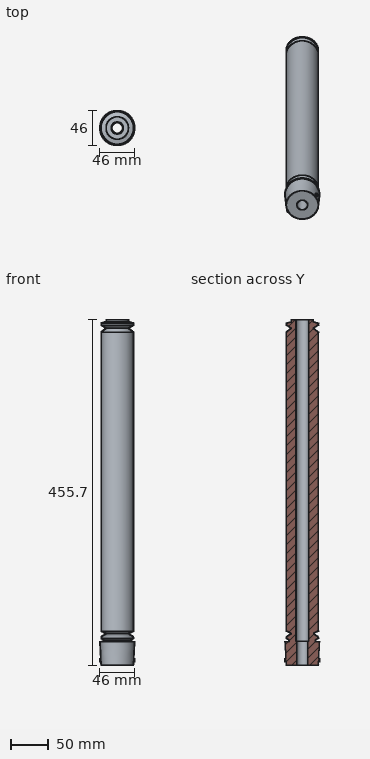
import cadquery as cq

total_height = 455.7
collar_height = 32.0
tube_diameter = 43.0
tube_bottom = 45.0
tube_top = 439.5
bore_diameter = 16.0
bore_step_diameter = 14.0
bore_step_height = collar_height

groove_diameter = 29.5
top_groove_height = 444.5
top_flange_bottom = 448.5
top_flange_top = 451.0
top_lip_bottom = 453.0

bottom_groove_height = 42.0
nose_start_diameter = 40.0
nose_start_height = 38.7
nose_middle_diameter = 42.0
nose_middle_height = 38.0
bottom_flange_bottom = 35.5
neck_diameter = 35.0
neck_top = 33.3

collar_top_diameter = 46.0
collar_bottom_diameter = 43.0
foot_diameter = 42.0
collar_edge_height = 31.0
foot_chamfer_height = 1.5

cross_pin_diameter = 4.0
cross_pin_height = 7.0


def revolved_body():
    """Revolve the stepped outer outline about the Z axis."""
    tube_radius = tube_diameter / 2
    groove_radius = groove_diameter / 2
    neck_radius = neck_diameter / 2
    collar_radius = collar_top_diameter / 2
    foot_and_neck = [
        (0, 0),
        (foot_diameter / 2, 0),
        (collar_bottom_diameter / 2, foot_chamfer_height),
        (collar_radius, collar_edge_height),
        (neck_radius, collar_height),
        (neck_radius, neck_top),
        (tube_radius, bottom_flange_bottom),
    ]
    nose_middle = (nose_middle_diameter / 2, nose_middle_height)
    nose_start = (nose_start_diameter / 2, nose_start_height)
    grooves_and_tube = [
        (groove_radius, bottom_groove_height),
        (tube_radius, tube_bottom),
        (tube_radius, tube_top),
        (groove_radius, top_groove_height),
        (tube_radius, top_flange_bottom),
        (tube_radius, top_flange_top),
        (groove_radius, top_lip_bottom),
        (groove_radius, total_height),
        (0, total_height),
    ]
    outline = (
        cq.Workplane("XZ")
        .polyline(foot_and_neck)
        .threePointArc(nose_middle, nose_start)
        .polyline(grooves_and_tube, includeCurrent=True)
        .close()
    )
    return outline.revolve(360, (0, 0), (0, 1))


def bore():
    """Through bore, slightly narrower inside the collar."""
    narrow = cq.Workplane("XY").circle(bore_step_diameter / 2).extrude(total_height)
    wide = (
        cq.Workplane("XY")
        .workplane(offset=bore_step_height)
        .circle(bore_diameter / 2)
        .extrude(total_height - bore_step_height)
    )
    return narrow.union(wide)


def cross_pin():
    """Radial pin whose two ends stand out of the collar along the X axis."""
    return (
        cq.Workplane("YZ")
        .center(0, cross_pin_height)
        .circle(cross_pin_diameter / 2)
        .extrude(collar_top_diameter / 2, both=True)
    )


result = revolved_body().union(cross_pin()).cut(bore())